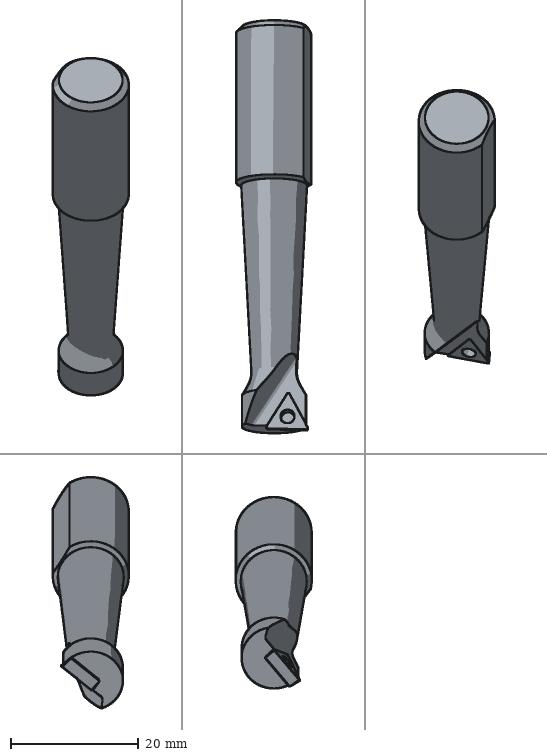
import cadquery as cq
import math


shank_top_z = 65.03
shank_radius = 6.0
shank_bottom_z = 40.0
shank_chamfer = 1.0
flat_distance = 5.4
shoulder_height = 0.5

neck_top_radius = 5.2
waist_radius = 3.6
waist_arc_radius = 4.7
head_radius = 5.07
head_bottom_z = 0.7
head_top_z = 5.65
head_cone_angle = 30.0

wall_angle = 11.5
floor_turn = 23.5
floor_slope = 28.0
floor_offset = 2.3
pocket_fillet = 0.6
pocket_reach = 40.0

tip_x = -5.595
tip_y = -0.15
tip_z = -0.015
insert_corner_angle = 60.0
insert_edge = 6.88
insert_thickness = 1.98
insert_relief = 7.0
insert_corner_radius = 0.2
insert_lead = 2.0
insert_hole_diameter = 2.2


def turned_blank():
    cone_angle = math.radians(head_cone_angle)
    arc_end_radius = waist_radius + waist_arc_radius * (1 - math.cos(cone_angle))
    arc_end_z = head_top_z + (head_radius - arc_end_radius) / math.tan(cone_angle)
    waist_z = arc_end_z + waist_arc_radius * math.sin(cone_angle)
    arc_middle = (
        waist_radius + waist_arc_radius * (1 - math.cos(cone_angle / 2)),
        waist_z - waist_arc_radius * math.sin(cone_angle / 2),
    )
    profile = (
        cq.Workplane("XZ")
        .moveTo(0, head_bottom_z)
        .lineTo(head_radius, head_bottom_z)
        .lineTo(head_radius, head_top_z)
        .lineTo(arc_end_radius, arc_end_z)
        .threePointArc(arc_middle, (waist_radius, waist_z))
        .lineTo(neck_top_radius, shank_bottom_z - shoulder_height)
        .lineTo(shank_radius, shank_bottom_z)
        .lineTo(shank_radius, shank_top_z - shank_chamfer)
        .lineTo(shank_radius - shank_chamfer, shank_top_z)
        .lineTo(0, shank_top_z)
        .close()
    )
    return profile.revolve(360, (0, 0, 0), (0, 1, 0))


def shank_flat():
    size = 2 * shank_radius
    height = shank_top_z - shank_bottom_z + shoulder_height
    return (
        cq.Workplane("XY", origin=(-flat_distance - size / 2, 0, shank_bottom_z - shoulder_height))
        .rect(size, size)
        .extrude(height)
    )


wall_turn = math.radians(wall_angle)
wall_plane = cq.Plane(
    origin=(tip_x, tip_y, tip_z),
    xDir=(math.cos(wall_turn), math.sin(wall_turn), 0),
    normal=(math.sin(wall_turn), -math.cos(wall_turn), 0),
)


def chip_pocket():
    turn = math.radians(floor_turn)
    slope = math.radians(floor_slope)
    floor_normal = cq.Vector(
        -math.cos(turn) * math.cos(slope),
        math.sin(turn) * math.cos(slope),
        -math.sin(slope),
    )
    floor_plane = cq.Plane(origin=(floor_normal * -floor_offset).toTuple(), normal=floor_normal.toTuple())
    above_floor = cq.Workplane(floor_plane).rect(pocket_reach, pocket_reach).extrude(pocket_reach)
    before_wall = cq.Workplane(wall_plane).rect(pocket_reach, pocket_reach).extrude(-pocket_reach)
    pocket = above_floor.intersect(before_wall)
    inner_corner = cq.selectors.NearestToPointSelector((0, 0, head_top_z))
    return pocket.edges(inner_corner).fillet(pocket_fillet)


def triangle_insert():
    corners = [(0, 0)]
    for turn in (insert_lead, insert_lead + insert_corner_angle):
        angle = math.radians(turn)
        corners.append((insert_edge * math.cos(angle), insert_edge * math.sin(angle)))
    outline = cq.Sketch().polygon(corners + corners[:1]).vertices().fillet(insert_corner_radius)
    return cq.Workplane(wall_plane).placeSketch(outline).extrude(insert_thickness, taper=insert_relief)


def insert_hole():
    centre_distance = insert_edge / math.sqrt(3)
    centre_angle = math.radians(insert_lead + insert_corner_angle / 2)
    return (
        cq.Workplane(wall_plane)
        .center(centre_distance * math.cos(centre_angle), centre_distance * math.sin(centre_angle))
        .circle(insert_hole_diameter / 2)
        .extrude(insert_thickness)
    )


insert_plate = triangle_insert()

holder = turned_blank().cut(shank_flat()).cut(chip_pocket()).cut(insert_plate)

cutting_insert = insert_plate.cut(insert_hole())

result = cq.Compound.makeCompound([holder.solids().val(), cutting_insert.solids().val()])